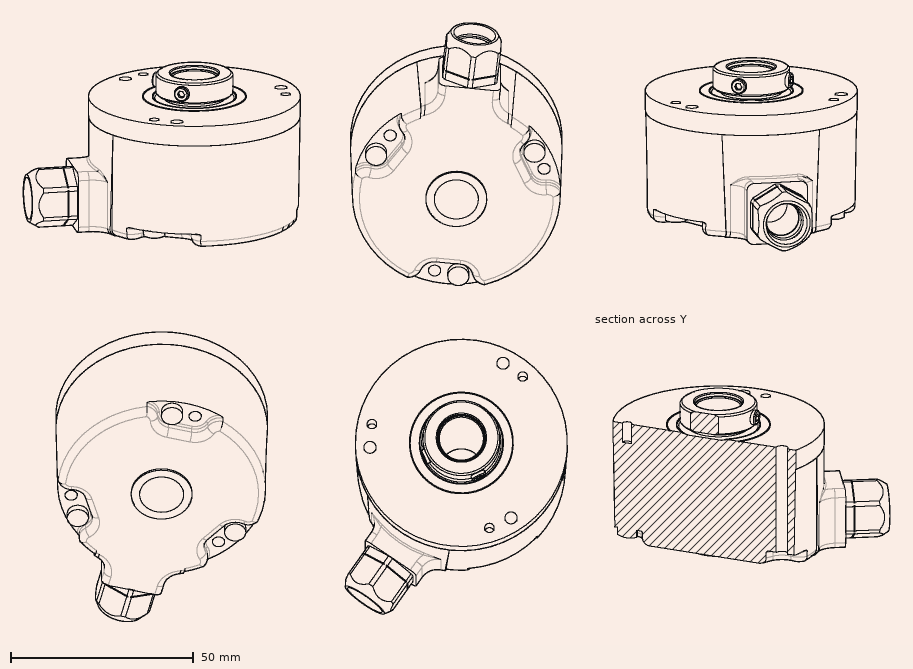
import cadquery as cq
import math

pick_gap = 0.1

split_z = 29.3
flange_top = 34.95
shaft_bottom = -0.65
collar_bottom = 35.6
collar_top = 41.6

flange_r = 29.0
housing_top_r = 28.9
housing_bottom_r = 28.4
edge_round = 1.95

shaft_r = 8.35
collar_r = 10.5
collar_chamfer = 0.5
bore_r = 6.0
counterbore_r = 6.6
counterbore_depth = 1.0
bore_chamfer = 0.3
shaft_recess_r = 11.5
shaft_recess_lip = 0.2
shaft_recess_floor_r = 10.9
shaft_recess_depth = 0.5
ring_groove_r = 14.2
ring_groove_size = 0.2

set_screw_angles = (180, 270)
set_screw_r = 2.0
set_screw_tip_r = 1.75
set_screw_reach = 11.6
set_screw_chamfer = set_screw_r - set_screw_tip_r
socket_across_corners = 2.0
socket_depth = 1.1
socket_point_depth = 0.6

hole_circle_r = 25.0
hole_offset_angle = 7.5
through_hole_r = 1.7
blind_hole_r = 1.3
blind_hole_depth = flange_top - split_z
pocket_angles = (30, 150, 270)
pocket_height = 4.0
pocket_lobe_r = 4.0
pocket_mouth_half = 10.7
pocket_mouth_x = 26.4
pocket_ceiling_round = 0.5
screw_head_r = 2.9
screw_head_bottom = 1.3
screw_dome_height = 0.65

outlet_angle = 210
boss_face = 34.1
boss_half = 8.5
boss_height = 17.2
boss_blend = 5.0
boss_top_blend = 0.5
sector_half_top = 13.6
sector_half_bottom = 12.5
gland_z = 8.5
hex_half = 7.5
hex_corner_r = 8.3
gland_joint = 36.55
joint_groove_width = 0.2
joint_groove_depth = 0.15
nut_cone_start = 43.6
nut_end = 46.5
nut_tip_r = 6.5
gland_mouth_r = 5.7
gland_throat_r = 5.2
gland_groove_r = 5.7
gland_groove_start = 2.8
gland_groove_width = 0.9
gland_bore_r = 4.85
inner_bore_r = 4.7
inner_bore_start = 6.5
inner_bore_end = 21.75


def disc(radius, bottom, top):
    """Cylinder on the main axis between two heights."""
    return cq.Workplane("XY").workplane(offset=bottom).circle(radius).extrude(top - bottom)


def polar(radius, degrees):
    """X and Y of a point given by radius and angle about the main axis."""
    angle = math.radians(degrees)
    return radius * math.cos(angle), radius * math.sin(angle)


def turn(solid, degrees):
    """Rotate a feature built along +X to its place around the main axis."""
    return solid.rotate((0, 0, 0), (0, 0, 1), degrees)


def hex_prism(start, end, half_flats):
    """Hexagon along the gland axis with a corner at the top."""
    return (
        cq.Workplane("YZ", origin=(start, 0, gland_z))
        .transformed(rotate=(0, 0, 90))
        .polygon(6, 4 * half_flats / math.sqrt(3))
        .extrude(end - start)
    )


def turned_about_gland(profile):
    """Revolve a closed profile of (distance, radius) points about the gland axis."""
    solid = cq.Workplane("XY").polyline(profile).close().revolve(360, (0, 0, 0), (1, 0, 0))
    return solid.translate((0, 0, gland_z))


def make_housing():
    """Drafted housing with its rounded lower edge and pockets, under the flange."""
    housing = (
        cq.Workplane("XZ")
        .polyline([(0, 0), (housing_bottom_r, 0), (housing_top_r, split_z), (0, split_z)])
        .close()
        .revolve(360, (0, 0, 0), (0, 1, 0))
        .faces("<Z").edges().fillet(edge_round)
    )
    pocket = make_pocket()
    for angle in pocket_angles:
        housing = housing.cut(turn(pocket, angle))
    return housing.union(disc(flange_r, split_z, flange_top))


def make_sector():
    """Undrafted stretch of the wall above and beside the boss, narrowing downward."""
    wedge = (
        cq.Workplane("YZ")
        .polyline([
            (-sector_half_bottom, 0),
            (sector_half_bottom, 0),
            (sector_half_top, split_z),
            (-sector_half_top, split_z),
        ])
        .close()
        .extrude(housing_top_r)
    )
    wall = disc(housing_top_r, 0, split_z).faces("<Z").edges().fillet(edge_round)
    return wall.intersect(wedge)


def make_boss():
    """Square outlet boss, flared into the round wall by arcs tangent to both."""
    arc_y = boss_half + boss_blend
    arc_x = math.sqrt((housing_top_r + boss_blend) ** 2 - arc_y ** 2)
    tangent_share = housing_top_r / (housing_top_r + boss_blend)
    end_x = arc_x * tangent_share
    end_y = arc_y * tangent_share
    root_x = housing_top_r / 2
    boss = (
        cq.Workplane("XY")
        .moveTo(boss_face, 0)
        .lineTo(boss_face, boss_half)
        .lineTo(arc_x, boss_half)
        .tangentArcPoint((end_x, end_y), relative=False)
        .lineTo(root_x, end_y)
        .lineTo(root_x, 0)
        .mirrorX()
        .extrude(boss_height)
    )
    side_edges = cq.selectors.BoxSelector(
        (end_x - pick_gap, -end_y, -pick_gap),
        (boss_face - pick_gap, end_y, boss_height + pick_gap),
    )
    return boss.faces("|Z").edges(side_edges).fillet(edge_round)


def make_outlet_wall():
    """Upright sector joined to the boss, with a small fillet where the boss top meets the wall."""
    wall = make_sector().union(make_boss())
    top_corner = cq.selectors.BoxSelector(
        (housing_top_r - boss_blend, -boss_half, boss_height - pick_gap),
        (housing_top_r + boss_top_blend, boss_half, boss_height + pick_gap),
    )
    return wall.edges(top_corner).fillet(boss_top_blend)


def make_gland():
    """Hexagonal gland with rounded corners and a conical tip."""
    nut_start = gland_joint + joint_groove_width
    base = hex_prism(boss_face, gland_joint, hex_half)
    joint = hex_prism(gland_joint, nut_start, hex_half - joint_groove_depth)
    nut = hex_prism(nut_start, nut_end, hex_half)
    envelope = turned_about_gland([
        (boss_face, 0),
        (boss_face, hex_corner_r),
        (nut_cone_start, hex_corner_r),
        (nut_end, nut_tip_r),
        (nut_end, 0),
    ])
    return base.union(joint).union(nut).intersect(envelope)


def make_gland_bore():
    """Cable opening with a tapered mouth, a seal groove and a stepped bore."""
    groove_start = nut_end - gland_groove_start
    groove_end = groove_start - gland_groove_width
    step = nut_end - inner_bore_start
    bore_end = nut_end - inner_bore_end
    return turned_about_gland([
        (nut_end, 0),
        (nut_end, gland_mouth_r),
        (groove_start, gland_throat_r),
        (groove_start, gland_groove_r),
        (groove_end, gland_groove_r),
        (groove_end, gland_bore_r),
        (step, gland_bore_r),
        (step, inner_bore_r),
        (bore_end, inner_bore_r),
        (bore_end, 0),
    ])


def make_collar():
    """Clamping collar chamfered at both rims."""
    return disc(collar_r, collar_bottom, collar_top).faces("|Z").edges().chamfer(collar_chamfer)


def make_set_screw():
    """Set screw along +X with a chamfered outer end, and its hexagon socket as a separate cutter."""
    middle_z = (collar_bottom + collar_top) / 2
    start = (collar_r + bore_r) / 2
    screw = (
        cq.Workplane("YZ", origin=(start, 0, middle_z))
        .circle(set_screw_r)
        .extrude(set_screw_reach - start)
        .faces(">X").edges().chamfer(set_screw_chamfer)
    )
    socket = (
        cq.Workplane("YZ", origin=(set_screw_reach, 0, middle_z))
        .polygon(6, socket_across_corners)
        .extrude(-socket_depth)
    )
    drill_point = cq.Workplane(
        cq.Solid.makeCone(
            socket_across_corners / 2,
            0,
            socket_point_depth,
            pnt=cq.Vector(set_screw_reach - socket_depth, 0, middle_z),
            dir=cq.Vector(-1, 0, 0),
        )
    )
    return screw, socket.union(drill_point)


def make_bore():
    """Shaft bore with a counterbore at the top, both with chamfered mouths."""
    floor_z = collar_top - counterbore_depth
    return (
        cq.Workplane("XZ")
        .polyline([
            (0, shaft_bottom),
            (bore_r, shaft_bottom),
            (bore_r, floor_z - bore_chamfer),
            (bore_r + bore_chamfer, floor_z),
            (counterbore_r, floor_z),
            (counterbore_r, collar_top - bore_chamfer),
            (counterbore_r + bore_chamfer, collar_top),
            (0, collar_top),
        ])
        .close()
        .revolve(360, (0, 0, 0), (0, 1, 0))
    )


def make_flange_grooves():
    """Stepped conical recess around the shaft and the narrow ring groove outside it."""
    floor_z = flange_top - shaft_recess_depth
    cone_r = shaft_recess_r - shaft_recess_lip
    cone_top = flange_top - shaft_recess_lip
    recess = (
        cq.Workplane("XZ")
        .polyline([
            (shaft_r, floor_z),
            (shaft_recess_floor_r, floor_z),
            (cone_r, cone_top),
            (shaft_recess_r, cone_top),
            (shaft_recess_r, flange_top),
            (shaft_r, flange_top),
        ])
        .close()
        .revolve(360, (0, 0, 0), (0, 1, 0))
    )
    groove_floor = flange_top - ring_groove_size
    groove = disc(ring_groove_r, groove_floor, flange_top)
    groove = groove.cut(disc(ring_groove_r - ring_groove_size, groove_floor, flange_top))
    return recess.union(groove)


def make_pocket():
    """Two-lobed pocket under the fixing holes, opening outward along +X with rounded lips."""
    lobe_x, lobe_y = polar(hole_circle_r, hole_offset_angle)

    along = pocket_mouth_half - lobe_y
    across = pocket_mouth_x - lobe_x
    lip_r = (along ** 2 + across ** 2 - pocket_lobe_r ** 2) / (2 * (pocket_lobe_r + across))
    lobe_share = pocket_lobe_r / (pocket_lobe_r + lip_r)
    tangent_x = lobe_x + (across - lip_r) * lobe_share
    tangent_y = lobe_y + along * lobe_share

    inner_x = lobe_x - pocket_lobe_r
    block_x = inner_x - 2 * edge_round
    block_y = pocket_mouth_half + 2 * edge_round
    block_depth = flange_r - block_x
    slab = (
        cq.Workplane("XY")
        .center(block_x, 0)
        .rect(2 * block_depth, 2 * block_y)
        .extrude(pocket_height)
    )
    wall_block = (
        cq.Workplane("XY")
        .moveTo(inner_x, 0)
        .lineTo(inner_x, lobe_y)
        .tangentArcPoint((tangent_x, tangent_y), relative=False)
        .tangentArcPoint((pocket_mouth_x, pocket_mouth_half), relative=False)
        .lineTo(pocket_mouth_x, block_y)
        .lineTo(block_x - block_depth, block_y)
        .lineTo(block_x - block_depth, 0)
        .mirrorX()
        .extrude(pocket_height)
    )
    wall_edges = cq.selectors.BoxSelector(
        (inner_x - pick_gap, -block_y + pick_gap, -pick_gap),
        (flange_r, block_y - pick_gap, pocket_height + pick_gap),
    )
    wall_block = wall_block.faces("<Z").edges(wall_edges).fillet(edge_round)
    pocket = slab.cut(wall_block)
    return pocket.faces(">Z").edges(wall_edges).fillet(pocket_ceiling_round)


def make_screw_head():
    """Domed screw head under the blind hole."""
    x, y = polar(hole_circle_r, -hole_offset_angle)
    rim_z = screw_head_bottom + screw_dome_height
    dome_r = (screw_head_r ** 2 + screw_dome_height ** 2) / (2 * screw_dome_height)
    return (
        cq.Workplane("XZ")
        .moveTo(0, pocket_height)
        .lineTo(0, screw_head_bottom)
        .radiusArc((screw_head_r, rim_z), -dome_r)
        .lineTo(screw_head_r, pocket_height)
        .close()
        .revolve(360, (0, 0, 0), (0, 1, 0))
        .translate((x, y, 0))
    )


def make_hole(radius, depth, side):
    """Hole drilled down from the flange top on one side of the pocket axis."""
    x, y = polar(hole_circle_r, side * hole_offset_angle)
    return disc(radius, flange_top - depth, flange_top).translate((x, y, 0))


result = make_housing()
result = result.union(turn(make_outlet_wall(), outlet_angle))
result = result.union(turn(make_gland(), outlet_angle))
result = result.cut(turn(make_gland_bore(), outlet_angle))
result = result.cut(make_flange_grooves())

screw_head = make_screw_head()
through_hole = make_hole(through_hole_r, flange_top, 1)
blind_hole = make_hole(blind_hole_r, blind_hole_depth, -1)
for pocket_angle in pocket_angles:
    result = result.union(turn(screw_head, pocket_angle))
    result = result.cut(turn(through_hole, pocket_angle))
    result = result.cut(turn(blind_hole, pocket_angle))

result = result.union(disc(shaft_r, shaft_bottom, collar_bottom)).union(make_collar())
set_screw, socket = make_set_screw()
for screw_angle in set_screw_angles:
    result = result.union(turn(set_screw, screw_angle))
    result = result.cut(turn(socket, screw_angle))
result = cq.Workplane(result.cut(make_bore()).solids().val())